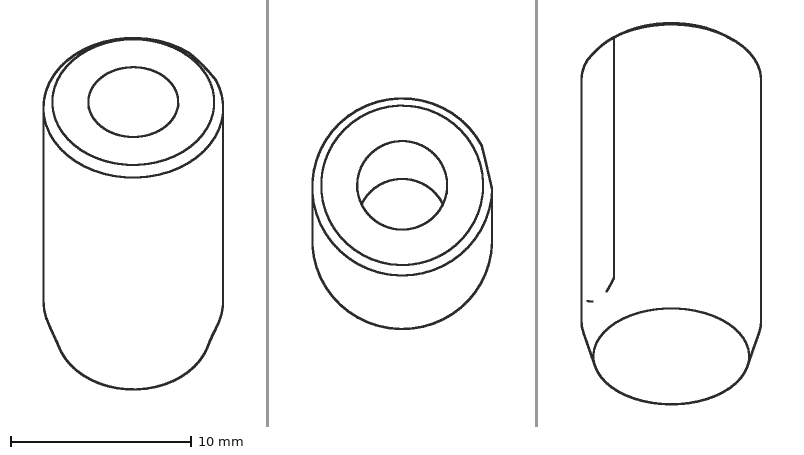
import cadquery as cq
import math

length = 20.0
radius = 5.0
top_chamfer = 0.5

lead_height = 2.5
lead_angle = 15.0
lead_end_radius = radius - lead_height * math.tan(math.radians(lead_angle))

flat_offset = 4.85

hole_radius = 2.5
hole_depth = 12.0
drill_point_angle = 120.0


def make_body():
    """Revolve the pin outline about Z."""
    return (
        cq.Workplane("XZ")
        .lineTo(lead_end_radius, 0)
        .lineTo(radius, lead_height)
        .lineTo(radius, length - top_chamfer)
        .lineTo(radius - top_chamfer, length)
        .lineTo(0, length)
        .close()
        .revolve(360, (0, 0), (0, 1))
    )


def make_flat_cutter():
    """Block removing everything beyond the flat."""
    return (
        cq.Workplane("XY")
        .box(2 * radius, radius, length, centered=(True, False, False))
        .translate((0, flat_offset, 0))
    )


def make_hole():
    """Revolve the drilled hole, cone tip included, about Z."""
    floor = length - hole_depth
    tip_depth = hole_radius / math.tan(math.radians(drill_point_angle / 2))
    return (
        cq.Workplane("XZ")
        .moveTo(0, length)
        .lineTo(hole_radius, length)
        .lineTo(hole_radius, floor)
        .lineTo(0, floor - tip_depth)
        .close()
        .revolve(360, (0, 0), (0, 1))
    )


result = make_body().cut(make_flat_cutter()).cut(make_hole())